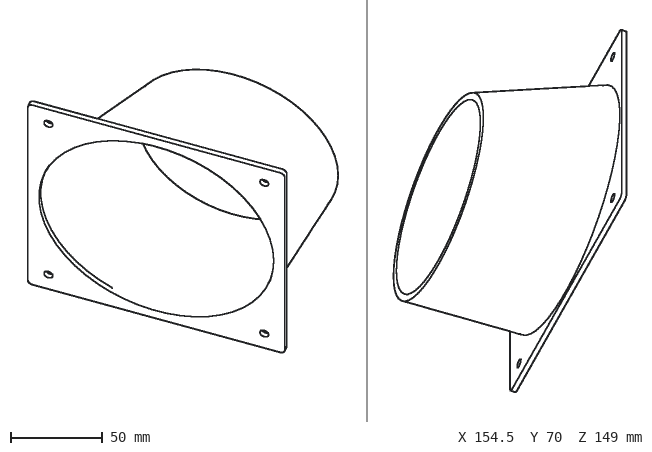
import cadquery as cq

total_width = 154.5
total_depth = 70.0

plate_side = 149.0
plate_thickness = 3.0
corner_radius = 3.0
screw_spacing = 125.0
screw_hole_diameter = 5.0

base_outer_diameter = 144.0
base_bore_diameter = 136.0
end_outer_diameter = 120.0
end_bore_diameter = 112.0
duct_length = total_depth - plate_thickness
end_offset = total_width - plate_side / 2 - end_outer_diameter / 2


def leaning_cone(base_diameter, end_diameter):
    """Solid between a circle on the plate's back and an offset circle at the duct end."""
    return (
        cq.Workplane("XZ", origin=(0, plate_thickness, 0))
        .circle(base_diameter / 2)
        .workplane(offset=-duct_length)
        .center(end_offset, 0)
        .circle(end_diameter / 2)
        .loft(ruled=True)
    )


def mounting_plate():
    """Rounded square plate with the duct opening and four corner screw holes."""
    plate = (
        cq.Workplane("XZ")
        .rect(plate_side, plate_side)
        .extrude(-plate_thickness)
        .edges("|Y")
        .fillet(corner_radius)
    )
    opening = cq.Workplane("XZ").circle(base_bore_diameter / 2).extrude(-plate_thickness)
    screw_holes = (
        cq.Workplane("XZ")
        .rect(screw_spacing, screw_spacing, forConstruction=True)
        .vertices()
        .circle(screw_hole_diameter / 2)
        .extrude(-plate_thickness)
    )
    return plate.cut(opening).cut(screw_holes)


outer_cone = leaning_cone(base_outer_diameter, end_outer_diameter)
bore_cone = leaning_cone(base_bore_diameter, end_bore_diameter)
duct = outer_cone.cut(bore_cone)

result = mounting_plate().union(duct)